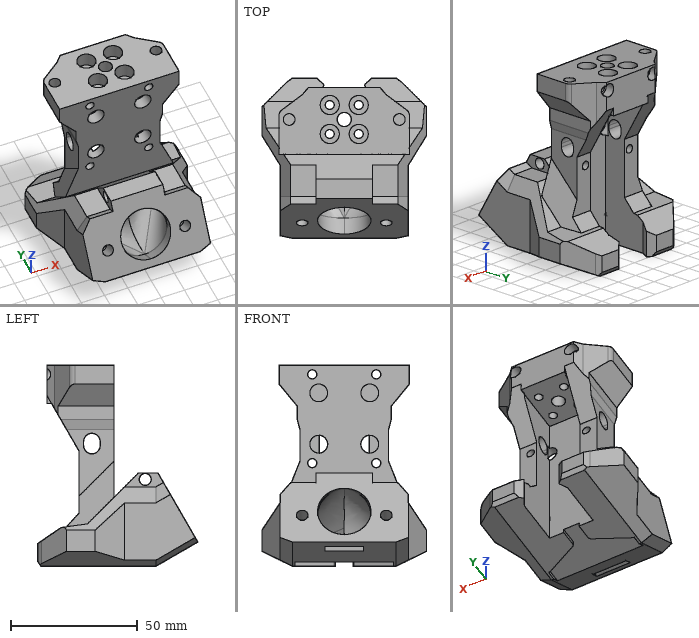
import cadquery as cq
import math


HEIGHT = 79.35
REACH = 95.2
HALF_WIDTH = 65.0 / 2
BACK_Y = 30.15

TILT = 30.0
FRONT_Y = -33.1
HEEL_Y = -16.5
RISE = math.tan(math.radians(TILT))
INWARD = (0, math.cos(math.radians(TILT)), -math.sin(math.radians(TILT)))
FRONT_Z = (HEEL_Y - FRONT_Y) * RISE
BASE_TOP = 36.9
RIDGE_FRONT_Y = FRONT_Y + (BASE_TOP - FRONT_Z) * RISE

RIDGE_BACK_Y = -9.7
RIDGE_HALF = 11.2
SHOULDER_Z = 31.35
ROOF_END_Y = 10.5
ARM_START = (ROOF_END_Y, BASE_TOP - (ROOF_END_Y - RIDGE_BACK_Y))
ARM_CREST = (20.9, 15.3)
ARM_END_Z = 9.0
ARM_FLARE_Y = (-4.2, 7.45)
ARM_CORNER = 18.7
ARM_BEND = (22.6, 28.6)
ARM_TIP_HALF = 20.55
FRONT_HALF = 25.3
FLOOR_HALF = 20.4
UNDERSIDE_SLOPE = 0.49
EDGE_SLOPE = 1.5
SHOULDER_HALF = 21.1
HEEL_CHAMFER = (1.3, 2.0)

WALL_BACK = 13.9
HEAD_BACK = 26.5
HEAD_HALF = 25.7
HEAD_SIDE_Z = 71.9
NECK_HALF = 18.6
NECK_Z = (57.85, 63.2)
WAIST_HALF = 17.5
WAIST_TOP = 54.0
WALL_FOOT_Z = 20.95
WALL_SLOPE_Z = 45.55
TOWER_ROOT_Z = 11.9
HEAD_CORNER_Y = 16.75
HEAD_BEND = (16.6, 23.6)
HEAD_BACK_HALF = 14.05
SHEAR_DEPTH = 19.05
FLARE_TOP = 41.5
FLARE_HEIGHT = 22.2
FLARE_WIDTH = 8.7
HEAD_CORNER_RADIUS = 2.8

CHANNEL_HALF = 9.8
CHANNEL_FRONT = 3.6
CHANNEL_TOP = 64.1
CHANNEL_TAPER_Y = 23.8
CHANNEL_THROAT = (7.9, 27.45)
CHANNEL_EXIT_HALF = 10.8

AXIS_Y = 13.8
AXIS_HOLE_DIA = 5.5
BOLT_DIA = 3.4
BOLT_HEAD_DIA = 7.5
BOLT_HEAD_DEPTH = 6.35
BOLT_OFFSET = 5.7
PIN_DIA = 4.6
PIN_X = 21.75
PIN_DEPTH = 6.35
PLATE_HOLE_DIA = 3.5
PLATE_HOLE_X = 12.6
PLATE_HOLE_Z = (40.7, 75.7)
PLATE_HEAD_DEPTH = 4.0
SOCKET_DIA = 7.0
SOCKET_X = 10.1
SOCKET_LOW_Z = 48.2
SOCKET_HIGH_Z = 68.4
SOCKET_DEPTH = 5.0
CABLE_SLOT = (8.0, 6.4)
CABLE_SLOT_AT = (8.7, 48.4)
RIDGE_HOLE_DIA = 4.6
RIDGE_HOLE_AT = (-12.3, 34.3)

BORE_DIA = 21.0
BORE_Z = 21.7
BORE_HIGH_DEPTH = 0.5
BORE_LOW_DEPTH = 7.3
FAN_SCREW_DIA = 4.5
FAN_SCREW_X = 16.6
FAN_SCREW_Z = 20.15
FAN_SCREW_DEPTH = 7.9
BRANCH_END = (19.8, 11.1, 8.3)
BRANCH_END_RADIUS = 4.4

NOTCH_HALF = 7.5
NOTCH_Z = (5.95, 7.8)
NOTCH_BACK_Y = -23.8
RECESS_HALF = 19.4
RECESS_DEPTH = 1.7
RECESS_CHANNEL_HALF = 3.5
RECESS_BEVEL = 0.55
RECESS_WALL_Y = (-4.8, -12.7)


def mirrored(half):
    """Closed outline from its right half, listed from bottom to top."""
    return half + [(-x, y) for x, y in reversed(half)]


def along_x(points, half_width=REACH / 2):
    return cq.Workplane("YZ").polyline(points).close().extrude(half_width, both=True)


def along_y(points, y_start, y_end):
    plane = cq.Workplane("XZ", origin=(0, y_start, 0))
    return plane.polyline(points).close().extrude(y_start - y_end)


def along_z(points, z_start, z_end):
    plane = cq.Workplane("XY", origin=(0, 0, z_start))
    return plane.polyline(points).close().extrude(z_end - z_start)


def slanted_prism(points, y_start, travel):
    """Sweep an XZ outline placed at y_start along a direction that may be oblique."""
    corners = [cq.Vector(x, y_start, z) for x, z in points]
    outline = cq.Wire.makePolygon(corners, close=True)
    return cq.Workplane(cq.Solid.extrudeLinear(outline, [], cq.Vector(*travel)))


def cylinder(diameter, start, direction, length):
    return cq.Workplane(
        cq.Solid.makeCylinder(diameter / 2, length, cq.Vector(*start), cq.Vector(*direction))
    )


def base_section(half_width):
    """Cross-section of the base with its chamfered lower and upper sides."""
    low_z = UNDERSIDE_SLOPE * (half_width - FLOOR_HALF)
    high_z = SHOULDER_Z - EDGE_SLOPE * (half_width - SHOULDER_HALF)
    return mirrored([
        (FLOOR_HALF, 0),
        (half_width, low_z),
        (half_width, high_z),
        (SHOULDER_HALF, SHOULDER_Z),
        (RIDGE_HALF, SHOULDER_Z),
        (RIDGE_HALF, BASE_TOP),
    ])


def make_base():
    rear = along_y(base_section(HALF_WIDTH), HEEL_Y, BACK_Y)
    tilted_length = HEEL_Y - FRONT_Y
    front = slanted_prism(
        base_section(FRONT_HALF), HEEL_Y, (0, -tilted_length, tilted_length * RISE)
    )
    side_outline = along_x([
        (HEEL_Y, 0),
        (BACK_Y - HEEL_CHAMFER[0], 0),
        (BACK_Y, HEEL_CHAMFER[1]),
        (BACK_Y, ARM_END_Z),
        ARM_CREST,
        ARM_START,
        (RIDGE_BACK_Y, BASE_TOP),
        (RIDGE_FRONT_Y, BASE_TOP),
        (FRONT_Y, FRONT_Z),
    ])
    plan_outline = along_z(mirrored([
        (FRONT_HALF, FRONT_Y),
        (FRONT_HALF, ARM_FLARE_Y[0]),
        (HALF_WIDTH, ARM_FLARE_Y[1]),
        (HALF_WIDTH, ARM_CORNER),
        ARM_BEND,
        (ARM_TIP_HALF, BACK_Y),
    ]), 0, HEIGHT)
    return rear.union(front).intersect(side_outline).intersect(plan_outline)


def flared_foot(side):
    outline = [
        (side * WAIST_HALF, FLARE_TOP),
        (side * WAIST_HALF, FLARE_TOP - FLARE_HEIGHT),
        (side * (WAIST_HALF + FLARE_WIDTH), FLARE_TOP - FLARE_HEIGHT),
    ]
    return slanted_prism(outline, 0, (0, SHEAR_DEPTH, -SHEAR_DEPTH))


def make_tower():
    front_outline = along_y(mirrored([
        (WAIST_HALF, TOWER_ROOT_Z),
        (WAIST_HALF, WAIST_TOP),
        (NECK_HALF, NECK_Z[0]),
        (NECK_HALF, NECK_Z[1]),
        (HEAD_HALF, HEAD_SIDE_Z),
        (HEAD_HALF, HEIGHT),
    ]), 0, HEAD_BACK)
    for side in (-1, 1):
        front_outline = front_outline.union(flared_foot(side))
    head_slope_z = WALL_SLOPE_Z + (HEAD_BACK - WALL_BACK) / RISE
    side_outline = along_x([
        (0, TOWER_ROOT_Z),
        (SHEAR_DEPTH, TOWER_ROOT_Z),
        (SHEAR_DEPTH, ARM_CREST[1]),
        (WALL_BACK, WALL_FOOT_Z),
        (WALL_BACK, WALL_SLOPE_Z),
        (HEAD_BACK, head_slope_z),
        (HEAD_BACK, HEIGHT),
        (0, HEIGHT),
    ])
    head_block = cq.Workplane("XY").box(
        2 * CHANNEL_HALF, HEAD_BACK, HEIGHT - CHANNEL_TOP, centered=(True, False, False)
    ).translate((0, 0, CHANNEL_TOP))
    plan_outline = along_z(mirrored([
        (HEAD_HALF, 0),
        (HEAD_HALF, HEAD_CORNER_Y),
        HEAD_BEND,
        (HEAD_BACK_HALF, HEAD_BACK),
    ]), 0, HEIGHT)
    side_corners = cq.selectors.BoxSelector(
        (-REACH, HEAD_CORNER_Y - 0.8, 0), (REACH, HEAD_CORNER_Y + 0.8, HEIGHT)
    )
    plan_outline = plan_outline.edges("|Z").edges(side_corners).fillet(HEAD_CORNER_RADIUS)
    return front_outline.intersect(side_outline).intersect(plan_outline).union(head_block)


def channel():
    return along_z(mirrored([
        (CHANNEL_HALF, CHANNEL_FRONT),
        (CHANNEL_HALF, CHANNEL_TAPER_Y),
        CHANNEL_THROAT,
        (CHANNEL_EXIT_HALF, BACK_Y),
    ]), 0, CHANNEL_TOP)


def top_holes():
    down = (0, 0, -1)
    holes = cylinder(AXIS_HOLE_DIA, (0, AXIS_Y, HEIGHT), down, HEIGHT - CHANNEL_TOP)
    for side in (-1, 1):
        holes = holes.union(cylinder(PIN_DIA, (side * PIN_X, AXIS_Y, HEIGHT), down, PIN_DEPTH))
        for row in (-1, 1):
            at = (side * BOLT_OFFSET, AXIS_Y + row * BOLT_OFFSET, HEIGHT)
            holes = holes.union(cylinder(BOLT_DIA, at, down, HEIGHT - CHANNEL_TOP))
            holes = holes.union(cylinder(BOLT_HEAD_DIA, at, down, BOLT_HEAD_DEPTH))
    return holes


def tower_holes(side):
    back = (0, 1, 0)
    holes = cylinder(SOCKET_DIA, (side * SOCKET_X, 0, SOCKET_LOW_Z), back, SOCKET_DEPTH)
    holes = holes.union(
        cylinder(SOCKET_DIA, (side * SOCKET_X, 0, SOCKET_HIGH_Z), back, SOCKET_DEPTH)
    )
    for z in PLATE_HOLE_Z:
        holes = holes.union(cylinder(PLATE_HOLE_DIA, (side * PLATE_HOLE_X, 0, z), back, HEAD_BACK))
    head_start = (side * PLATE_HOLE_X, HEAD_BACK - PLATE_HEAD_DEPTH, PLATE_HOLE_Z[1])
    return holes.union(cylinder(AXIS_HOLE_DIA, head_start, back, PLATE_HEAD_DEPTH))


def cross_holes():
    cable_slot = (
        cq.Workplane("YZ").center(*CABLE_SLOT_AT).slot2D(*CABLE_SLOT, 90)
        .extrude(REACH / 2, both=True)
    )
    ridge_hole = (
        cq.Workplane("YZ").center(*RIDGE_HOLE_AT).circle(RIDGE_HOLE_DIA / 2)
        .extrude(RIDGE_HALF, both=True)
    )
    return cable_slot.union(ridge_hole)


def on_front_face(x, z):
    return (x, FRONT_Y + (z - FRONT_Z) * RISE, z)


def duct_ring(center, tilt, height):
    """Elliptical ring facing rearward and down by tilt degrees; its width follows the bore."""
    angle = math.radians(tilt)
    normal = cq.Vector(0, math.cos(angle), -math.sin(angle))
    return cq.Wire.makeEllipse(BORE_DIA / 2, height / 2, center, normal, cq.Vector(1, 0, 0))


def air_duct():
    """Round inlet that splits into two tapering branches, one for each arm."""
    mouth = cq.Vector(*on_front_face(0, BORE_Z))
    bore_end_turn = math.atan((BORE_LOW_DEPTH - BORE_HIGH_DEPTH) / BORE_DIA)
    bore_end_height = BORE_DIA / math.cos(bore_end_turn)
    bore_end_center = mouth + cq.Vector(*INWARD) * ((BORE_LOW_DEPTH + BORE_HIGH_DEPTH) / 2)
    inlet = duct_ring(mouth, TILT, BORE_DIA)
    bore_end = duct_ring(bore_end_center, TILT - math.degrees(bore_end_turn), bore_end_height)
    duct = cq.Workplane(cq.Solid.makeLoft([inlet, bore_end], True))
    for side in (-1, 1):
        end = cq.Vector(side * BRANCH_END[0], BRANCH_END[1], BRANCH_END[2])
        outlet = cq.Wire.makeEllipse(
            BRANCH_END_RADIUS, BRANCH_END_RADIUS, end, cq.Vector(0, 1, 0), cq.Vector(1, 0, 0)
        )
        duct = duct.union(cq.Workplane(cq.Solid.makeLoft([bore_end, outlet], True)))
    return duct


def fan_screw_hole(side):
    start = on_front_face(side * FAN_SCREW_X, FAN_SCREW_Z)
    return cylinder(FAN_SCREW_DIA, start, INWARD, FAN_SCREW_DEPTH)


def front_notch():
    z_low, z_high = NOTCH_Z
    return along_x([
        (FRONT_Y, z_low),
        (NOTCH_BACK_Y, z_low),
        (NOTCH_BACK_Y, z_high),
        (FRONT_Y, z_high),
    ], NOTCH_HALF)


def underside_recess():
    wall_inner_y, wall_outer_y = RECESS_WALL_Y
    return along_z(mirrored([
        (RECESS_HALF, FRONT_Y),
        (RECESS_HALF, wall_outer_y),
        (RECESS_CHANNEL_HALF + RECESS_BEVEL, wall_inner_y),
        (RECESS_CHANNEL_HALF, wall_inner_y + RECESS_BEVEL),
        (RECESS_CHANNEL_HALF, CHANNEL_FRONT),
    ]), 0, RECESS_DEPTH)


result = make_base().union(make_tower()).cut(channel())
result = result.cut(top_holes()).cut(cross_holes())
for mirror_side in (-1, 1):
    result = result.cut(tower_holes(mirror_side))
    result = result.cut(fan_screw_hole(mirror_side))
result = result.cut(air_duct()).cut(front_notch()).cut(underside_recess())